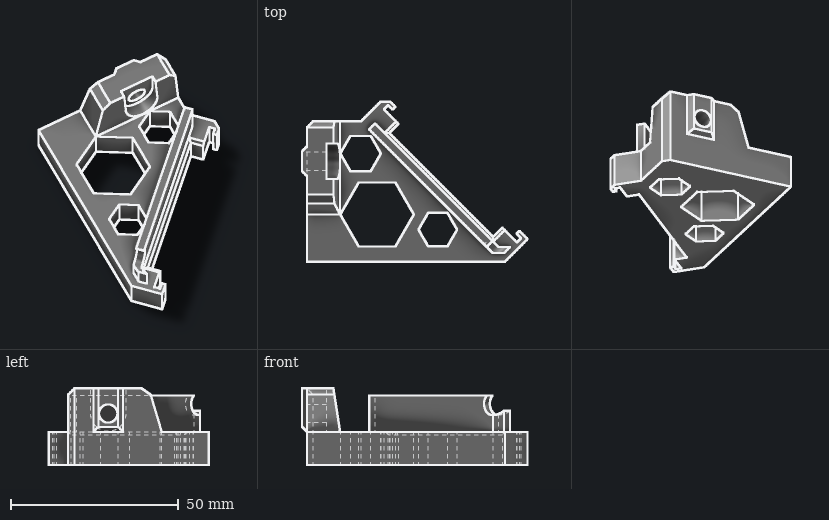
import cadquery as cq
import math

base_height = 10.0
back_y = 42.0
back_tip_y = 47.85
corner_chamfer = 1.9

seat_middle_u = 12.1
seat_half_length = 22.9
seat_v = 43.6
seat_chamfer = 1.0
lug_face_v = 48.45
hook_inner_v = 50.2
hook_outer_v = 51.4
hook_root_half = 28.05
hook_tip_half = 26.15
back_edge_u = -18.25
right_edge_u = 41.8

hex_windows = [(16.05, 32.35, 12.05), (20.95, 14.15, 21.9), (39.1, 9.65, 11.45)]

total_height = 23.0
tower_top_width = 7.95
tower_base_width = 10.0
tower_front_y = 14.1
tower_shoulder_y = 17.4
tower_top_front_y = 20.1
shoulder_z = total_height - corner_chamfer

boss_depth = 1.5
boss_width = 8.9
screw_y = 30.05
screw_z = 15.45
screw_diameter = 5.45
recess_x = 5.9
recess_diameter = 10.6

wall_thickness = 2.5
wall_top_z = 20.8
wall_start_u = -14.8
wall_end_u = 39.75
foot_front_y = 2.6
foot_back_y = 4.45
notch_u = 37.1
notch_z = 18.3
notch_radius = 3.4

diagonal_plane = cq.Plane(
    origin=(0, 0, 0), xDir=(1, -1, 0), normal=(0, 0, 1)
)


def from_diagonal(u, v):
    """X, Y position of a point given in the diagonal frame."""
    return (u + v) / math.sqrt(2), (v - u) / math.sqrt(2)


def at_y_on_v(y, v):
    """Point at the given y on a line of constant v."""
    return v * math.sqrt(2) - y, y


def at_y_on_u(y, u):
    """Point at the given y on a line of constant u."""
    return u * math.sqrt(2) + y, y


def hook_points(side):
    """Outline of one hook from its outer tip to the lug face; side is -1 (back) or +1 (right)."""
    tip_u = seat_middle_u + side * hook_tip_half
    root_u = seat_middle_u + side * hook_root_half
    return [
        from_diagonal(tip_u, hook_outer_v),
        from_diagonal(tip_u, hook_inner_v),
        from_diagonal(root_u, hook_inner_v),
        from_diagonal(root_u, lug_face_v),
    ]


def make_base():
    outline = [
        (0, 0),
        at_y_on_u(0, right_edge_u),
        from_diagonal(right_edge_u, hook_outer_v),
        *hook_points(1),
        *reversed(hook_points(-1)),
        at_y_on_v(back_tip_y, hook_outer_v),
        at_y_on_u(back_tip_y, back_edge_u),
        at_y_on_u(back_y, back_edge_u),
        (0, back_y),
    ]
    base = cq.Workplane("XY").polyline(outline).close().extrude(base_height)
    for x, y, width in hex_windows:
        window = cq.Workplane("XY").center(x, y).polygon(6, width).extrude(base_height)
        base = base.cut(window)
    return base.cut(make_seat())


def make_seat():
    """Opening between the lugs, with a 45 degree chamfer along the rim of its floor and ends."""
    outer_v = hook_outer_v + seat_chamfer
    bottom_half = seat_half_length - seat_chamfer
    bottom_v = seat_v + seat_chamfer
    slope_start = base_height - seat_chamfer
    narrow_outline = [(-bottom_half, bottom_v), (bottom_half, bottom_v),
                      (bottom_half, outer_v), (-bottom_half, outer_v)]
    rim_outline = [(-seat_half_length, seat_v), (seat_half_length, seat_v),
                   (seat_half_length, outer_v), (-seat_half_length, outer_v)]
    bottom = cq.Workplane(diagonal_plane).center(seat_middle_u, 0)
    opening = bottom.polyline(narrow_outline).close().extrude(slope_start)
    rim = (
        bottom.workplane(offset=slope_start)
        .polyline(narrow_outline)
        .close()
        .workplane(offset=seat_chamfer)
        .polyline(rim_outline)
        .close()
        .loft(ruled=True)
    )
    return opening.union(rim)


def make_tower():
    side_outline = [
        (tower_front_y, base_height),
        (tower_shoulder_y, shoulder_z),
        (tower_top_front_y, total_height),
        (back_y - corner_chamfer, total_height),
        (back_y, shoulder_z),
        (back_y, base_height),
    ]
    front_outline = [
        (0, base_height),
        (tower_base_width, base_height),
        (tower_top_width, total_height),
        (0, total_height),
    ]
    side = cq.Workplane("YZ").polyline(side_outline).close().extrude(tower_base_width)
    front = cq.Workplane("XZ").polyline(front_outline).close().extrude(-back_y)
    return side.intersect(front)


def make_corner_cut():
    return (
        cq.Workplane("XY")
        .polyline([(0, back_y), (0, back_y - corner_chamfer), (corner_chamfer, back_y)])
        .close()
        .extrude(total_height)
    )


def make_boss():
    """Boss on the left face, bevelled at 45 degrees on its sides and bottom."""
    half = boss_width / 2
    root = [(-half, base_height), (half, base_height), (half, total_height), (-half, total_height)]
    face_half = half - boss_depth
    face_bottom = base_height + boss_depth
    face = [(-face_half, face_bottom), (face_half, face_bottom),
            (face_half, total_height), (-face_half, total_height)]
    return (
        cq.Workplane("YZ")
        .center(screw_y, 0)
        .polyline(root)
        .close()
        .workplane(offset=-boss_depth)
        .polyline(face)
        .close()
        .loft(ruled=True)
    )


def make_screw_cut():
    """Through hole with a recess on the inner side that is round below and open above."""
    length = tower_base_width + boss_depth
    hole = (
        cq.Workplane("YZ", origin=(-boss_depth, screw_y, screw_z))
        .circle(screw_diameter / 2)
        .extrude(length)
    )
    recess_plane = cq.Workplane("YZ", origin=(recess_x, screw_y, screw_z))
    recess_length = tower_base_width - recess_x
    recess = recess_plane.circle(recess_diameter / 2).extrude(recess_length)
    opening_height = total_height - screw_z
    opening = (
        recess_plane.center(0, opening_height / 2)
        .rect(recess_diameter, opening_height)
        .extrude(recess_length)
    )
    return hole.union(recess).union(opening)


def make_wall():
    inner_v = seat_v - wall_thickness
    outline = [
        from_diagonal(wall_start_u, inner_v),
        at_y_on_v(foot_front_y, inner_v),
        at_y_on_u(foot_front_y, wall_end_u),
        at_y_on_u(foot_back_y, wall_end_u),
        at_y_on_v(foot_back_y, seat_v),
        from_diagonal(wall_start_u, seat_v),
    ]
    wall = (
        cq.Workplane("XY", origin=(0, 0, base_height))
        .polyline(outline)
        .close()
        .extrude(wall_top_z - base_height)
    )
    notch_x, notch_y = from_diagonal(notch_u, 0)
    notch_plane = cq.Plane(
        origin=(notch_x, notch_y, notch_z), xDir=(1, -1, 0), normal=(-1, -1, 0)
    )
    round_cut = cq.Workplane(notch_plane).circle(notch_radius).extrude(-2 * seat_v)
    end_cut = (
        cq.Workplane(notch_plane)
        .rect(2 * notch_radius, notch_radius, centered=(False, False))
        .extrude(-2 * seat_v)
    )
    return wall.cut(round_cut).cut(end_cut)


result = (
    make_base()
    .union(make_tower())
    .union(make_boss())
    .cut(make_corner_cut())
    .cut(make_screw_cut())
    .union(make_wall())
)